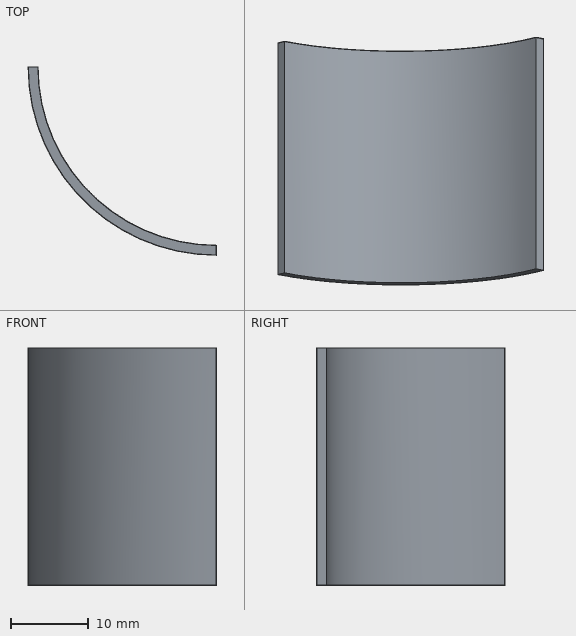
import cadquery as cq

height = 30.48
outer_radius = 24.15
wall_thickness = 1.28
inner_radius = outer_radius - wall_thickness

tube = cq.Workplane("XY").circle(outer_radius).circle(inner_radius).extrude(height)

quadrant = cq.Workplane("XY").box(outer_radius, outer_radius, height, centered=False)
quadrant = quadrant.translate((-outer_radius, -outer_radius, 0))

result = tube.intersect(quadrant)